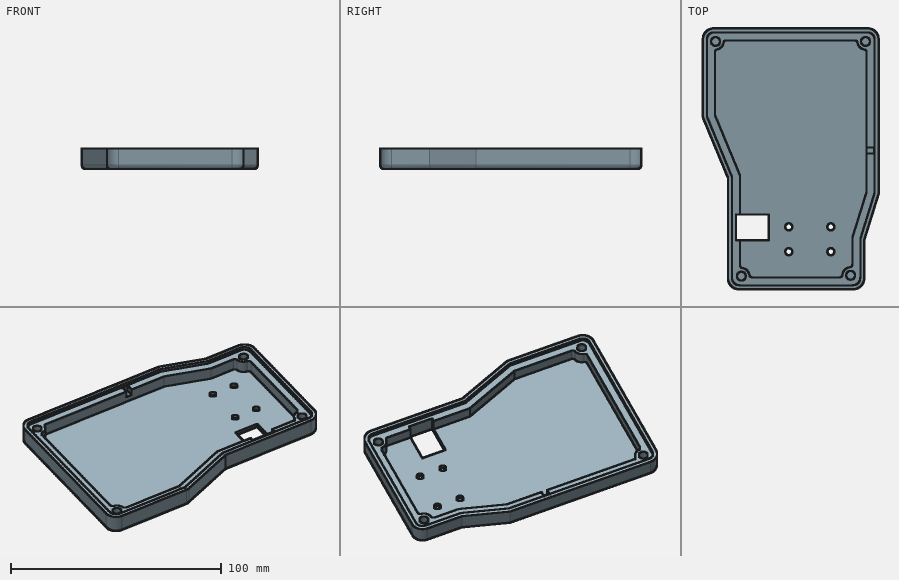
import cadquery as cq

length = 124.3
width = 83.8
height = 10.0
corner_radius = 5.5
bottom_edge_radius = 2.0
bend_radius = 4.1

left_x = -width / 2
right_x = width / 2
front_y = -length / 2
back_y = length / 2
narrow_left_x = -30.0
narrow_right_x = 35.0
left_bend_back_y = 19.8
left_bend_front_y = -9.0
right_bend_back_y = -16.5
right_bend_front_y = -38.5

floor_thickness = 2.0
lip_depth = 1.6
lip_width = 2.0
cavity_width = 72.2
wall_thickness = (width - cavity_width) / 2
ledge_z = height - lip_depth

screw_hole_diameter = 4.2
screw_hole_bottom_z = floor_thickness
boss_radius = 3.9
boss_blend_radius = 1.4
screw_positions = [
    (-35.8, 55.8),
    (35.5, 55.8),
    (-23.5, -55.8),
    (28.5, -55.4),
]

pin_hole_diameter = 3.2
pin_hole_center = (9.1, -38.3)
pin_hole_pitch_x = 20.0
pin_hole_pitch_y = 11.8

window_left_x = -26.0
window_right_x = -10.6
window_back_y = -26.6
window_front_y = -38.7

groove_width = 3.0
groove_depth = 3.4
groove_reach = 3.6
groove_y = 4.0


def outline(z):
    """Closed plan outline of the tray with sharp corners, placed at height z."""
    return (
        cq.Workplane("XY", origin=(0, 0, z))
        .moveTo(narrow_left_x, front_y)
        .lineTo(narrow_right_x, front_y)
        .lineTo(narrow_right_x, right_bend_front_y)
        .lineTo(right_x, right_bend_back_y)
        .lineTo(right_x, back_y)
        .lineTo(left_x, back_y)
        .lineTo(left_x, left_bend_back_y)
        .lineTo(narrow_left_x, left_bend_front_y)
        .close()
    )


def box_between(x_min, x_max, y_min, y_max, z_min, z_max):
    """Axis-aligned box given by its limits."""
    return cq.Workplane("XY").box(
        x_max - x_min, y_max - y_min, z_max - z_min, centered=False
    ).translate((x_min, y_min, z_min))


def round_corners(body, radius):
    """Round the vertical edges at the front and back corners."""
    return body.faces("<Y or >Y").edges("|Z").fillet(radius)


def make_body():
    body = round_corners(outline(0).extrude(height), corner_radius)
    bend_edge = cq.selectors.NearestToPointSelector((left_x, left_bend_back_y, height / 2))
    body = body.edges("|Z").edges(bend_edge).fillet(bend_radius)
    return body.faces("<Z").edges().fillet(bottom_edge_radius)


def make_lip_recess():
    recess = outline(ledge_z).offset2D(-lip_width, "intersection").extrude(lip_depth)
    return round_corners(recess, corner_radius - lip_width)


def make_cavity():
    depth = ledge_z - floor_thickness
    cavity = outline(floor_thickness).offset2D(-wall_thickness, "intersection").extrude(depth)
    bosses = (
        cq.Workplane("XY", origin=(0, 0, floor_thickness))
        .pushPoints(screw_positions)
        .circle(boss_radius)
        .extrude(depth)
    )
    cavity = cavity.cut(bosses)
    reach = boss_radius + boss_blend_radius
    for x, y in screw_positions:
        corner = cq.selectors.BoxSelector(
            (x - reach, y - reach, 0), (x + reach, y + reach, height)
        )
        cavity = cavity.edges("|Z").edges(corner).fillet(boss_blend_radius)
    return cavity


def make_screw_holes():
    return (
        cq.Workplane("XY", origin=(0, 0, screw_hole_bottom_z))
        .pushPoints(screw_positions)
        .circle(screw_hole_diameter / 2)
        .extrude(height - screw_hole_bottom_z)
    )


def make_pin_holes():
    return (
        cq.Workplane("XY")
        .center(*pin_hole_center)
        .rarray(pin_hole_pitch_x, pin_hole_pitch_y, 2, 2)
        .circle(pin_hole_diameter / 2)
        .extrude(height)
    )


def make_window():
    return box_between(window_left_x, window_right_x, window_front_y, window_back_y, 0, height)


def make_groove():
    cavity_wall_x = right_x - wall_thickness
    return box_between(
        cavity_wall_x, cavity_wall_x + groove_reach,
        groove_y - groove_width / 2, groove_y + groove_width / 2,
        ledge_z - groove_depth, ledge_z,
    )


result = (
    make_body()
    .cut(make_lip_recess())
    .cut(make_cavity())
    .cut(make_screw_holes())
    .cut(make_pin_holes())
    .cut(make_window())
    .cut(make_groove())
)